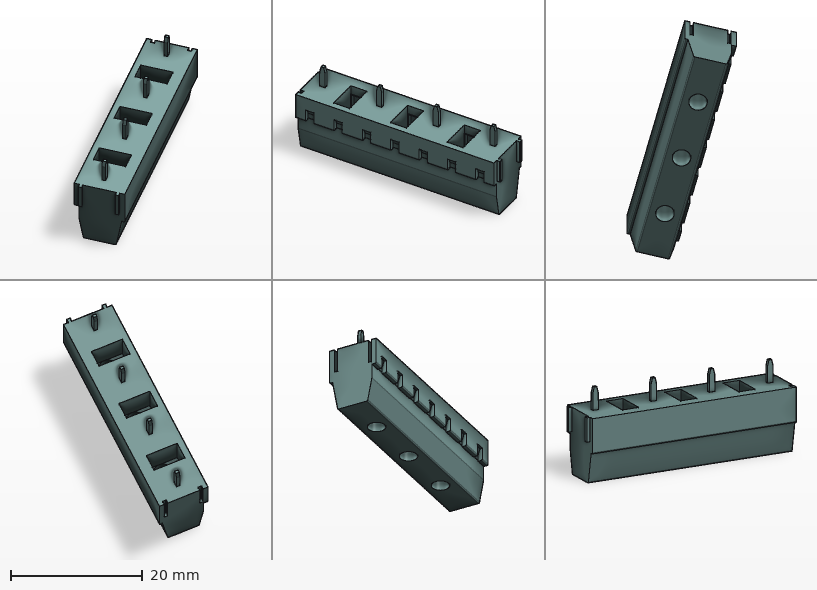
import cadquery as cq

total_length = 35.6
peg_projection = 0.6
body_length = total_length - peg_projection
body_width = 8.1
total_height = 14.3
pin_height = 3.65
body_height = total_height - pin_height

half_width = body_width / 2
left_step_z = -4.38
left_step_depth = 0.75
left_taper_z = -6.75
right_step_z = -5.65
right_step_x = 3.55
bottom_left_x = -2.55
bottom_right_x = 2.65
edge_radius = 0.2

pin_count = 4
notch_count = 2 * pin_count - 1
pin_pitch = 10.0
notch_pitch = pin_pitch / 2

pin_thickness = 0.57
pin_width = 0.93
pin_tip_width = 0.45
pin_tip_height = 0.93

notch_width = 1.45
notch_top_z = -2.28
notch_roof_end_z = -3.35
notch_floor_z = -4.2
notch_ledge = 0.05
notch_depth = left_step_depth + notch_ledge
notch_level_roof_depth = 0.43

pocket_left_x = -3.0
pocket_right_x = 2.17
pocket_width = 2.8
pocket_depth = -left_step_z
ledge_z = -1.53
ledge_width = 0.07
hole_x = 0.05
hole_diameter = 2.8

window_top_z = -1.65
window_side_margin = 0.18
window_depth = 0.75

dovetail_positions = (-2.95, 2.95)
dovetail_width = 0.65
dovetail_undercut = 0.055
dovetail_neck = 0.1
dovetail_height = 3.88
dovetail_shoulder = 0.55
dovetail_nose_inset = 0.15


def spaced(count, pitch):
    """Y positions of a centred row."""
    return [(index - (count - 1) / 2) * pitch for index in range(count)]


def box(x_range, y_center, width, z_range):
    """Axis-aligned box, centred on y_center along Y."""
    return cq.Workplane("XY").box(
        x_range[1] - x_range[0], width, z_range[1] - z_range[0], centered=(False, True, False)
    ).translate((x_range[0], y_center, z_range[0]))


def extrude_along_y(points, y_center, length):
    """Extrude an (X, Z) outline symmetrically about y_center."""
    return (
        cq.Workplane("XZ", origin=(0, y_center, 0))
        .polyline(points)
        .close()
        .extrude(length / 2, both=True)
    )


def make_body():
    section = [
        (-half_width, 0),
        (half_width, 0),
        (half_width, right_step_z),
        (right_step_x, right_step_z),
        (bottom_right_x, -body_height),
        (bottom_left_x, -body_height),
        (-half_width + left_step_depth, left_taper_z),
        (-half_width + left_step_depth, left_step_z),
        (-half_width, left_step_z),
    ]
    rounded_corners = [section[2], section[4], section[5], section[8]]
    body = extrude_along_y(section, 0, body_length)
    for x, z in rounded_corners:
        corner_edge = cq.selectors.NearestToPointSelector((x, 0, z))
        body = body.edges("|Y").edges(corner_edge).fillet(edge_radius)
    return body


def make_notch(y):
    outer_x = -half_width
    inner_x = outer_x + notch_depth
    wall_x = outer_x + left_step_depth
    outline = [
        (outer_x, notch_top_z),
        (outer_x + notch_level_roof_depth, notch_top_z),
        (inner_x, notch_roof_end_z),
        (inner_x, notch_floor_z),
        (wall_x, notch_floor_z),
        (wall_x, left_step_z),
        (outer_x, left_step_z),
    ]
    return extrude_along_y(outline, y, notch_width)


def make_pocket(y):
    lower_right_x = pocket_right_x - ledge_width
    upper = box((pocket_left_x, pocket_right_x), y, pocket_width, (ledge_z, 0))
    lower = box((pocket_left_x, lower_right_x), y, pocket_width, (-pocket_depth, ledge_z))
    window = box(
        (lower_right_x, lower_right_x + window_depth),
        y,
        pocket_width - 2 * window_side_margin,
        (-pocket_depth, window_top_z),
    )
    hole = (
        cq.Workplane("XY", origin=(hole_x, y, -body_height))
        .circle(hole_diameter / 2)
        .extrude(body_height)
    )
    return upper.union(lower).union(window).union(hole)


def make_pin(y):
    shoulder_z = pin_height - pin_tip_height
    return (
        cq.Workplane("YZ")
        .polyline([
            (y - pin_width / 2, 0),
            (y + pin_width / 2, 0),
            (y + pin_width / 2, shoulder_z),
            (y + pin_tip_width / 2, pin_height),
            (y - pin_tip_width / 2, pin_height),
            (y - pin_width / 2, shoulder_z),
        ])
        .close()
        .extrude(pin_thickness / 2, both=True)
    )


def make_dovetail(x, y):
    """Dovetail bar that starts at the plane Y = y, widens toward -Y and hangs from the top face."""
    half = dovetail_width / 2
    return (
        cq.Workplane("XY", origin=(x, y, 0))
        .polyline([
            (-half + dovetail_undercut, 0),
            (-half + dovetail_undercut, -dovetail_neck),
            (-half, -dovetail_shoulder),
            (-half + dovetail_nose_inset, -peg_projection),
            (half, -peg_projection),
            (half - dovetail_undercut, -dovetail_neck),
            (half - dovetail_undercut, 0),
        ])
        .close()
        .extrude(-dovetail_height)
    )


result = make_body()
for notch_y in spaced(notch_count, notch_pitch):
    result = result.cut(make_notch(notch_y))
for pocket_y in spaced(pin_count - 1, pin_pitch):
    result = result.cut(make_pocket(pocket_y))
for pin_y in spaced(pin_count, pin_pitch):
    result = result.union(make_pin(pin_y))
for dovetail_x in dovetail_positions:
    result = result.cut(make_dovetail(dovetail_x, body_length / 2))
    result = result.union(make_dovetail(dovetail_x, -body_length / 2))